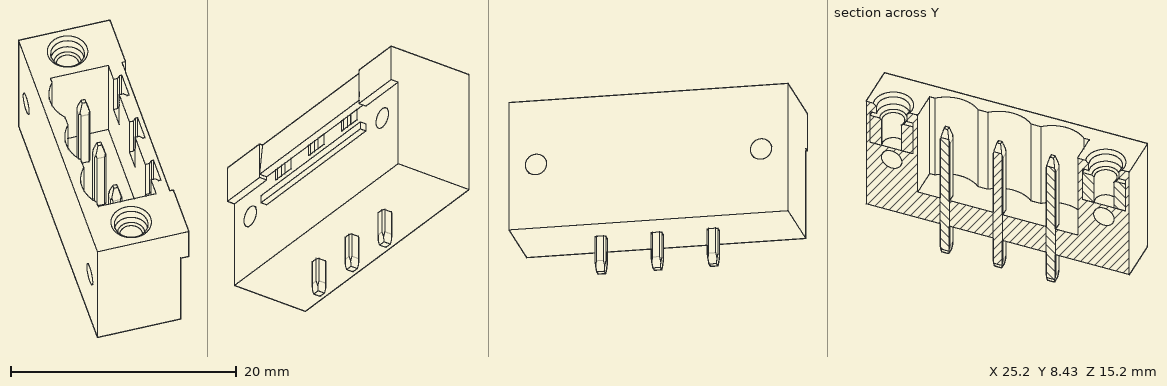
import cadquery as cq


length = 25.25
height = 11.95
body_depth = 7.67
flange_depth = 8.43
flange_bottom_z = 8.45

lip_bottom_z = 8.78
lip_top_depth = 8.1

rib_depth = 0.6
rib_bottom_z = 5.88
rib_height = 0.73

pitch = 5.07
contact_xs = [-pitch, 0, pitch]
cavity_width = 15.3
cavity_front_y = 1.51
cavity_rear_y = 6.85
cavity_floor_z = 3.03
scallop_width = 4.15
scallop_sag = 0.75

slot_floor_z = 7.75
slot_neck_width = 1.82
slot_neck_depth = 0.38
slot_back_width = 2.37
slot_back_edge = 0.2

screw_xs = [-10.17, 10.17]
row_y = 3.8
bore_radius = 1.5
bore_chamfer = 0.3
insert_pocket_radius = 2.07
insert_pocket_top_z = 10.8
insert_pocket_floor_z = 7.32
insert_headroom = 0.38
insert_hole_radius = 1.0
insert_chamfer = 0.2
cross_hole_radius = 0.95
cross_hole_z = 5.95

pin_width = 0.98
pin_thickness = 1.05
pin_edge_chamfer = 0.18
pin_top_z = 10.95
pin_top_taper = 1.36
pin_top_tip = 0.35
pin_bottom_z = -3.25
pin_bottom_taper = 0.95
pin_bottom_tip = 0.68


def box(width, y_start, y_end, z_start, z_end):
    """Block centred on X = 0, between the given Y and Z limits."""
    return (
        cq.Workplane("XY", origin=(0, 0, z_start))
        .rect(width, y_end - y_start)
        .extrude(z_end - z_start)
        .translate((0, (y_start + y_end) / 2, 0))
    )


def make_block():
    """Body with rear flanges, the ramped lip between them and the rear rib."""
    body = box(length, 0, body_depth, 0, height)
    flanges = box(length, body_depth, flange_depth, flange_bottom_z, height)
    flanges = flanges.cut(box(cavity_width, body_depth, flange_depth, flange_bottom_z, height))
    lip = (
        cq.Workplane("YZ", origin=(-cavity_width / 2, 0, 0))
        .moveTo(body_depth, lip_bottom_z)
        .lineTo(flange_depth, lip_bottom_z)
        .lineTo(lip_top_depth, height)
        .lineTo(body_depth, height)
        .close()
        .extrude(cavity_width)
    )
    rib = box(cavity_width, body_depth, body_depth + rib_depth, rib_bottom_z, rib_bottom_z + rib_height)
    return body.union(flanges).union(lip).union(rib)


def make_cavity():
    """Open-topped plug cavity whose front wall is scalloped in front of each pin."""
    half_width = cavity_width / 2
    outline = cq.Workplane("XY", origin=(0, 0, cavity_floor_z))
    outline = outline.moveTo(-half_width, cavity_rear_y).lineTo(-half_width, cavity_front_y)
    for x in contact_xs:
        outline = outline.lineTo(x - scallop_width / 2, cavity_front_y).threePointArc(
            (x, cavity_front_y - scallop_sag), (x + scallop_width / 2, cavity_front_y)
        )
    outline = outline.lineTo(half_width, cavity_front_y).lineTo(half_width, cavity_rear_y).close()
    return outline.extrude(height - cavity_floor_z)


def make_slot(x):
    """Dovetail slot reaching back to the rear face, so it is open below the lip."""
    neck = slot_neck_width / 2
    back = slot_back_width / 2
    return (
        cq.Workplane("XY", origin=(x, 0, slot_floor_z))
        .moveTo(-neck, cavity_rear_y)
        .lineTo(-neck, cavity_rear_y + slot_neck_depth)
        .lineTo(-back, body_depth - slot_back_edge)
        .lineTo(-back, body_depth)
        .lineTo(back, body_depth)
        .lineTo(back, body_depth - slot_back_edge)
        .lineTo(neck, cavity_rear_y + slot_neck_depth)
        .lineTo(neck, cavity_rear_y)
        .close()
        .extrude(height - slot_floor_z)
    )


def make_screw_bore(x):
    """Chamfered bore in the top face, opening into a wider blind pocket for an insert."""
    pocket = (
        cq.Workplane("XY", origin=(x, row_y, insert_pocket_floor_z))
        .circle(insert_pocket_radius)
        .extrude(insert_pocket_top_z - insert_pocket_floor_z)
    )
    bore = (
        cq.Workplane("XY", origin=(x, row_y, insert_pocket_top_z))
        .circle(bore_radius)
        .extrude(height - insert_pocket_top_z)
        .faces(">Z")
        .workplane()
        .circle(bore_radius + bore_chamfer)
        .workplane(offset=-bore_chamfer)
        .circle(bore_radius)
        .loft()
    )
    return pocket.union(bore)


def make_cross_hole(x):
    """Hole from the front face through to the rear face."""
    return (
        cq.Workplane("XZ", origin=(x, 0, cross_hole_z))
        .circle(cross_hole_radius)
        .extrude(-body_depth)
    )


def make_insert(x):
    """Bush seated in an insert pocket, with clearance above and a chamfered through hole."""
    return (
        cq.Workplane("XY", origin=(x, row_y, insert_pocket_floor_z))
        .circle(insert_pocket_radius)
        .circle(insert_hole_radius)
        .extrude(insert_pocket_top_z - insert_headroom - insert_pocket_floor_z)
        .faces(">Z")
        .edges(cq.selectors.RadiusNthSelector(0))
        .chamfer(insert_chamfer)
    )


def make_pin(x):
    """Pin with bevelled long edges and a pyramid taper to a square tip at each end."""
    bar = (
        cq.Workplane("XY", origin=(x, row_y, pin_bottom_z))
        .rect(pin_width, pin_thickness)
        .extrude(pin_top_z - pin_bottom_z)
        .edges("|Z")
        .chamfer(pin_edge_chamfer)
    )
    shank_bottom_z = pin_bottom_z + pin_bottom_taper
    shank_top_z = pin_top_z - pin_top_taper
    envelope = (
        cq.Workplane("XY", origin=(x, row_y, shank_bottom_z))
        .rect(pin_width, pin_thickness)
        .extrude(shank_top_z - shank_bottom_z)
    )
    top_taper = (
        cq.Workplane("XY", origin=(x, row_y, shank_top_z))
        .rect(pin_width, pin_thickness)
        .workplane(offset=pin_top_taper)
        .rect(pin_top_tip, pin_top_tip)
        .loft()
    )
    bottom_taper = (
        cq.Workplane("XY", origin=(x, row_y, shank_bottom_z))
        .rect(pin_width, pin_thickness)
        .workplane(offset=-pin_bottom_taper)
        .rect(pin_bottom_tip, pin_bottom_tip)
        .loft()
    )
    return bar.intersect(envelope.union(top_taper).union(bottom_taper))


pins = [make_pin(x) for x in contact_xs]
inserts = [make_insert(x) for x in screw_xs]

housing = make_block().cut(make_cavity())
for x in contact_xs:
    housing = housing.cut(make_slot(x))
for x in screw_xs:
    housing = housing.cut(make_screw_bore(x)).cut(make_cross_hole(x))
for pin in pins:
    housing = housing.cut(pin)

bodies = [housing] + inserts + pins
result = cq.Compound.makeCompound([body.solids().val() for body in bodies])